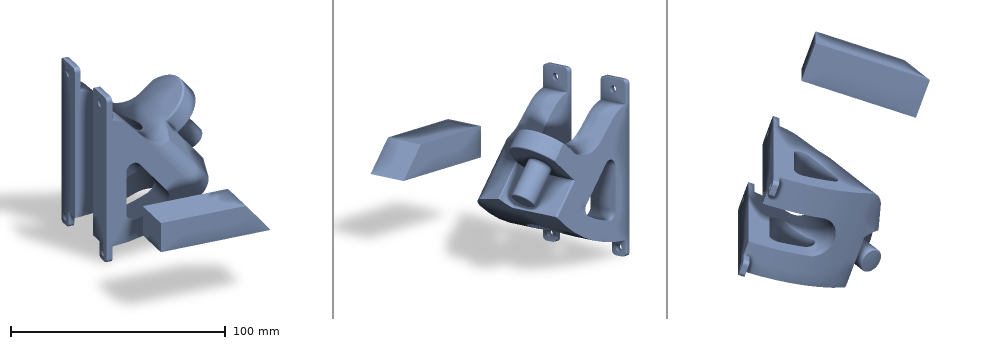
import cadquery as cq
import math

bracket_width = 50.0
bracket_height = 85.1
foot_thickness = 3.0
channel_width = 20.0
channel_depth = 29.2
channel_tilt = 15
foot_width = (bracket_width - channel_width) / 2
tab_width = 8.0
tab_height = 8.1
corner_radius = 2.0
screw_diameter = 3.5
top_screw_drop = 5.4
bottom_screw_inset = 4.1
bottom_screw_height = 4.0

tilt = math.radians(40)
notch_y = 39.5
notch_z = 44.1
slab_thickness = 10.0
pad_reach = 11.3
pad_radius = 16.2
pad_x = 14.1
pad_edge_radius = 1.0
pin_radius = 5.9
pin_length = 19.7
small_edge_radius = 0.5
pocket_radius = 16.4
pocket_edge_radius = 0.9

wing_x = pad_x + pad_radius
wing_reach = 8.5
wing_slope = math.radians(19)
wing_corner_radius = 9.5

valley_radius = 15.0
valley_start_reach = 10.5
valley_floor_z = 54.9
shoulder_radius = 19.5
shoulder_top = 73.5
shoulder_end_angle = 77
belly_radius = 76.3
belly_center_z = belly_radius + tab_height
window_y = 10.2
rim_width = 10.0
window_slope_y = 23.9
window_slope_z = 39.9
window_corner_radius = 4.0

block_x = 90.0
block_width = 110 - block_x
block_z = 32.3
block_height = 15.1
block_length = 56.4

OVERSIZE = 220

pad_plane = cq.Plane(
    origin=(0, notch_y, notch_z),
    xDir=(1, 0, 0),
    normal=(0, -math.sin(tilt), math.cos(tilt)),
)


def side_point(outward, upward):
    """World (Y, Z) of a point in the tilted pad frame."""
    return (
        notch_y + outward * math.cos(tilt) - upward * math.sin(tilt),
        notch_z + outward * math.sin(tilt) + upward * math.cos(tilt),
    )


def circle_point(center, radius, angle):
    return (center[0] + radius * math.cos(angle), center[1] + radius * math.sin(angle))


def arc_through(sketch, center, radius, start, end):
    """Continue an outline along a circle from its start angle to its end angle."""
    middle = circle_point(center, radius, (start + end) / 2)
    return sketch.threePointArc(middle, circle_point(center, radius, end))


def make_side_body():
    """Web outline with belly arc, slab, valley and shoulder, extruded across the width."""
    valley_center = side_point(valley_start_reach, slab_thickness + valley_radius)
    valley_start = tilt - math.pi / 2
    valley_end = tilt - math.pi
    shoulder_start = tilt
    shoulder_end = math.radians(shoulder_end_angle)
    shoulder_center = (
        foot_thickness - shoulder_radius * math.cos(shoulder_end),
        shoulder_top - shoulder_radius * math.sin(shoulder_end),
    )
    belly_end_y, belly_end_z = side_point(0, -pin_length)
    belly_start = math.atan2(belly_end_z - belly_center_z, belly_end_y)
    belly_end = -math.acos(foot_thickness / belly_radius)

    outline = cq.Workplane("YZ").moveTo(0, belly_center_z - belly_radius)
    outline = outline.lineTo(*circle_point((0, belly_center_z), belly_radius, belly_end))
    outline = arc_through(outline, (0, belly_center_z), belly_radius, belly_end, belly_start)
    outline = outline.lineTo(*side_point(2 * pad_radius, -pin_length))
    outline = outline.lineTo(*side_point(2 * pad_radius, slab_thickness))
    outline = outline.lineTo(*side_point(valley_start_reach, slab_thickness))
    outline = arc_through(outline, valley_center, valley_radius, valley_start, valley_end)
    outline = outline.lineTo(*circle_point(shoulder_center, shoulder_radius, shoulder_start))
    outline = arc_through(outline, shoulder_center, shoulder_radius, shoulder_start, shoulder_end)
    return outline.lineTo(0, shoulder_top).close().extrude(bracket_width)


def make_wing_envelope(height):
    """Outer limit of the web in the pad frame: square behind the pad, sloped and rounded on the wing."""
    pad_top_edge = wing_x - pad_edge_radius
    arc_x = bracket_width - wing_corner_radius
    tangent_x = arc_x + wing_corner_radius * math.sin(wing_slope)
    tangent_reach = wing_reach - (tangent_x - wing_x) * math.tan(wing_slope)
    arc_center = (arc_x, tangent_reach - wing_corner_radius * math.cos(wing_slope))
    outline = (
        cq.Workplane(pad_plane)
        .moveTo(0, -OVERSIZE)
        .lineTo(0, valley_start_reach)
        .lineTo(pad_top_edge, valley_start_reach)
        .lineTo(pad_top_edge, wing_reach + pad_edge_radius * math.tan(wing_slope))
        .lineTo(tangent_x, tangent_reach)
    )
    outline = arc_through(outline, arc_center, wing_corner_radius, math.pi / 2 - wing_slope, 0)
    return outline.lineTo(bracket_width, -OVERSIZE).close().extrude(height)


def make_pocket():
    """Space around the pin, with a flat inner wall whose edge on the -X side is rounded."""
    radius = pocket_edge_radius
    wall_offset = radius - pad_reach
    corner_x = pad_x + math.sqrt(pocket_radius**2 - wall_offset**2)
    corner_angle = math.atan2(wall_offset, corner_x - pad_x)
    edge_middle = circle_point((radius, 0), radius, math.radians(135))
    outline = cq.Workplane(pad_plane).moveTo(-pad_radius, 0).lineTo(0, 0)
    outline = outline.threePointArc(edge_middle, (radius, radius)).lineTo(corner_x, radius)
    outline = arc_through(outline, (pad_x, pad_reach), pocket_radius, corner_angle, math.pi / 2)
    return outline.lineTo(-pad_radius, pad_reach + pocket_radius).close().extrude(-OVERSIZE)


def make_envelope():
    """Limits of the web above and below the slab's lower face, with the wing's sharp tip rounded."""
    lower = make_wing_envelope(-OVERSIZE).cut(make_pocket())
    tip = pad_plane.toWorldCoords((wing_x, wing_reach, -OVERSIZE / 2)).toTuple()
    lower = lower.edges(cq.selectors.NearestToPointSelector(tip)).fillet(small_edge_radius)
    return lower.union(make_wing_envelope(OVERSIZE))


def round_end(cylinder, upper, radius):
    """Round the rim of a cylinder's upper or lower end along the pad's axis."""
    end = cylinder.faces(cq.selectors.DirectionMinMaxSelector(pad_plane.zDir, upper))
    return end.edges().fillet(radius)


def make_pad():
    """Round pad with softened rims, cut flush with the bracket's -X side."""
    pad = cq.Workplane(pad_plane).center(pad_x, pad_reach).circle(pad_radius).extrude(slab_thickness)
    pad = round_end(pad, True, pad_edge_radius)
    pad = round_end(pad, False, small_edge_radius)
    outside = cq.Workplane(pad_plane).box(OVERSIZE, OVERSIZE, OVERSIZE).translate((-OVERSIZE / 2, 0, 0))
    return pad.cut(outside)


def make_pin():
    pin = cq.Workplane(pad_plane).center(pad_x, pad_reach).circle(pin_radius).extrude(-pin_length)
    return round_end(pin, False, small_edge_radius)


def make_window():
    """Rounded triangular opening through both webs."""
    arc_radius = belly_radius - rim_width
    run, rise = math.sin(tilt), -math.cos(tilt)
    offset_z = window_slope_z - belly_center_z
    half_b = window_slope_y * run + offset_z * rise
    excess = window_slope_y**2 + offset_z**2 - arc_radius**2
    distance = -half_b + math.sqrt(half_b**2 - excess)
    low_y = window_slope_y + distance * run
    low_z = window_slope_z + distance * rise
    top_z = window_slope_z + (window_slope_y - window_y) / math.tan(tilt)
    arc_start = -math.acos(window_y / arc_radius)
    arc_end = math.atan2(low_z - belly_center_z, low_y)
    outline = cq.Workplane("YZ").moveTo(window_y, top_z)
    outline = outline.lineTo(*circle_point((0, belly_center_z), arc_radius, arc_start))
    outline = arc_through(outline, (0, belly_center_z), arc_radius, arc_start, arc_end)
    window = outline.close().extrude(bracket_width)
    return window.edges("|X").fillet(window_corner_radius)


def make_foot():
    """Left mounting foot with its stepped lower tab and two screw holes."""
    foot = (
        cq.Workplane("XZ")
        .moveTo(0, 0)
        .lineTo(tab_width, 0)
        .lineTo(tab_width, tab_height)
        .lineTo(foot_width, tab_height)
        .lineTo(foot_width, bracket_height)
        .lineTo(0, bracket_height)
        .close()
        .extrude(-foot_thickness)
    )
    foot = foot.edges("|Y and (<Z or >Z)").fillet(corner_radius)
    screws = [
        (foot_width / 2, bracket_height - top_screw_drop),
        (bottom_screw_inset, bottom_screw_height),
    ]
    holes = cq.Workplane("XZ").pushPoints(screws).circle(screw_diameter / 2).extrude(-foot_thickness)
    return foot.cut(holes)


def make_channel():
    """Leaning, round-ended channel that separates the two webs."""
    radius = channel_width / 2
    plane = cq.Plane(origin=(bracket_width / 2, channel_depth, valley_floor_z)).rotated((channel_tilt, 0, 0))
    return (
        cq.Workplane(plane)
        .moveTo(-radius, -OVERSIZE)
        .lineTo(-radius, -radius)
        .threePointArc((0, 0), (radius, -radius))
        .lineTo(radius, -OVERSIZE)
        .close()
        .extrude(OVERSIZE, both=True)
    )


def make_bracket():
    body = make_side_body().intersect(make_envelope())
    body = body.union(make_pad()).union(make_pin())
    body = body.cut(make_channel()).cut(make_window())
    left_foot = make_foot()
    right_foot = left_foot.mirror("YZ", (bracket_width / 2, 0, 0))
    return body.union(left_foot).union(right_foot)


def make_block():
    """Bar whose far end is sloped perpendicular to the bracket's slab."""
    end_run = block_height * math.tan(tilt)
    return (
        cq.Workplane("YZ", origin=(block_x, 0, block_z))
        .lineTo(block_length, 0)
        .lineTo(block_length - end_run, block_height)
        .lineTo(0, block_height)
        .close()
        .extrude(block_width)
    )


bracket = make_bracket()
block = make_block()
result = cq.Compound.makeCompound([bracket.val(), block.val()])